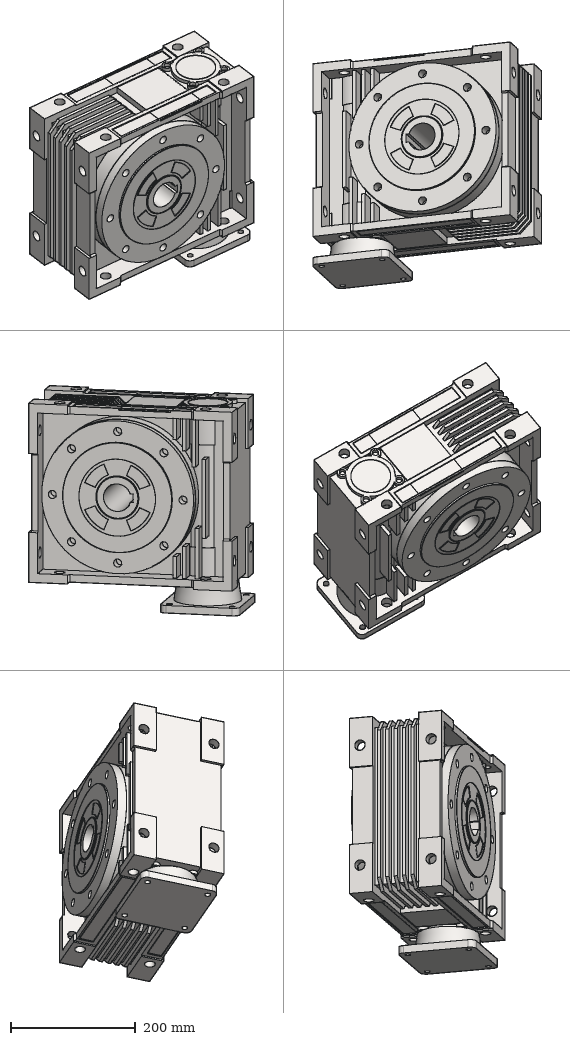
import cadquery as cq
import math


center_distance = 130.0
width = 170.0
housing_half_height = 146.25
housing_y_min = -147.5
housing_y_max = 187.5
housing_y_mid = (housing_y_min + housing_y_max) / 2
frame_outer_x = 77.5
frame_inner_x = 39.0
frame_wall = 15.0
wall_y = housing_y_max - frame_wall

beam_half_length = 103.75
column_half_length = 64.5
beam_drop = 2.5
column_drop = 4.5
side_drop = 3.5
beam_ramp = 3.6
column_ramp = 2.4

pad_depth = 1.9
pad_x_min = 46.5
pad_x_max = 70.5
pad_half_length = 96.5

foot_hole_diameter = 17.0
foot_hole_x = 60.0
foot_hole_z = 100.0
foot_hole_y_offset = 120.0

body_half_height = housing_half_height - frame_wall
body_y_min = housing_y_min + frame_wall
body_y_max = housing_y_max - column_drop
panel_y_max = 85.0
panel_half_height = 142.0
deck_half_height = 139.8
panel_edge_thickness = 1.0
panel_edge_overhang = 0.2
fin_count = 5
fin_pitch = 14.1
fin_thickness = 5.5
fin_y_min = -146.25
fin_y_start = -12.0
fin_ramp_length = 11.0
fin_chamfer = 19.0

barrel_radius = 44.0
barrel_waist_radius = 43.2
barrel_waist_half_height = 84.0
rib_outer_x = 65.5
rib_thickness = 6.0
rib_places = [
    (138.0, -64.5, 64.5),
    (121.5, 51.5, body_half_height),
    (106.0, 77.5, body_half_height),
    (90.5, 95.0, body_half_height),
    (127.0, -body_half_height, -48.5),
    (106.0, -body_half_height, -79.0),
    (90.5, -body_half_height, -96.0),
]
corner_rib_outer_x = 40.0
corner_rib_width = 4.0
corner_rib_z_min = 97.0

cap_height = 146.0
cap_radius = 39.5
cap_recess_radius = 32.0
cap_recess_depth = 1.0
cap_lug_radius = 8.5
cap_hole_radius = 5.2
cap_hole_count = 4
cap_hole_circle_radius = 46.0
cap_hole_depth = 12.0
cap_hole_start_angle = 46.0

flange_radius = 125.0
flange_x = 81.5
flange_thickness = 15.5
flange_neck_radius = 124.5
pilot_radius = 90.0
pilot_chamfer = 0.5
flange_hole_count = 8
flange_hole_diameter = 13.0
flange_hole_circle_radius = 107.5
flange_hole_depth = 20.0

cover_radius = 63.0
cover_recess = 1.0
pocket_inner_radius = 39.5
pocket_outer_radius = 58.0
pocket_depth = 1.3
pocket_half_angle = 22.5
pocket_middle_angles = (45, 135, 225, 315)
shaft_radius = 34.0
shaft_gap_radius = 35.2
shaft_gap_depth = 2.0
bore_radius = 22.5
key_width = 14.0
key_top = 26.3

motor_flange_side = 130.0
motor_flange_thickness = 12.5
motor_flange_bottom = -189.25
motor_flange_corner_radius = 10.5
motor_flange_hole_diameter = 9.0
motor_flange_hole_offset = 51.5
neck_top_radius = 50.0
neck_bottom_radius = 54.5


def block(x_min, x_max, y_min, y_max, z_min, z_max):
    size = (x_max - x_min, y_max - y_min, z_max - z_min)
    return cq.Workplane("XY").box(*size, centered=False).translate((x_min, y_min, z_min))


def disc(radius, x_min, x_max):
    """Cylinder along the output axis."""
    return cq.Workplane("YZ", origin=(x_min, 0, 0)).circle(radius).extrude(x_max - x_min)


def post(radius, z_min, z_max, x=0.0, y=center_distance):
    """Vertical cylinder, on the worm axis unless placed elsewhere."""
    return cq.Workplane("XY", origin=(x, y, z_min)).circle(radius).extrude(z_max - z_min)


def both_sides(shape):
    return shape.union(shape.mirror("YZ"))


def top_and_bottom(shape):
    return shape.union(shape.mirror("XY"))


def side_relief(middle, half_length, ramp):
    """Points of the shallow relief in the outer face of a frame member, ramped at both ends."""
    floor_x = frame_outer_x - side_drop
    floor_half = half_length - ramp
    return [
        (frame_outer_x, middle - half_length),
        (floor_x, middle - floor_half),
        (floor_x, middle + floor_half),
        (frame_outer_x, middle + half_length),
    ]


def make_frame():
    """Rectangular side frame at +X with four thicker corner feet."""
    beam_y_min = housing_y_mid - beam_half_length
    beam_y_max = housing_y_mid + beam_half_length
    frame = block(
        frame_inner_x, frame_outer_x, housing_y_min, housing_y_max, -housing_half_height, housing_half_height
    )
    window = block(
        frame_inner_x, frame_outer_x, body_y_min, wall_y, -body_half_height, body_half_height
    )
    frame = frame.cut(window)

    beam_top = housing_half_height - beam_drop
    beam_cut = block(frame_inner_x, frame_outer_x, beam_y_min, beam_y_max, beam_top, housing_half_height)
    pad_cut = block(
        pad_x_min,
        pad_x_max,
        housing_y_mid - pad_half_length,
        housing_y_mid + pad_half_length,
        beam_top - pad_depth,
        beam_top,
    )
    frame = frame.cut(top_and_bottom(beam_cut)).cut(top_and_bottom(pad_cut))

    for y_min in (housing_y_min, housing_y_max - column_drop):
        column_cut = block(
            frame_inner_x, frame_outer_x, y_min, y_min + column_drop, -column_half_length, column_half_length
        )
        frame = frame.cut(column_cut)

    beam_relief = cq.Workplane("XY").polyline(side_relief(housing_y_mid, beam_half_length, beam_ramp)).close()
    frame = frame.cut(beam_relief.extrude(housing_half_height, both=True))
    column_relief = cq.Workplane("XZ").polyline(side_relief(0, column_half_length, column_ramp)).close()
    frame = frame.cut(column_relief.extrude(housing_y_max, both=True))

    hole_radius = foot_hole_diameter / 2
    for y_offset in (-foot_hole_y_offset, foot_hole_y_offset):
        hole_y = housing_y_mid + y_offset
        frame = frame.cut(post(hole_radius, -housing_half_height, housing_half_height, foot_hole_x, hole_y))
    for z in (-foot_hole_z, foot_hole_z):
        hole = cq.Workplane("XZ").center(foot_hole_x, z).circle(hole_radius).extrude(housing_y_max, both=True)
        frame = frame.cut(hole)
    return frame


def make_fin():
    """Cooling fin that wraps the top, front and bottom of the body."""
    points = [
        (fin_y_start, body_half_height),
        (fin_y_start - fin_ramp_length, panel_half_height),
        (fin_y_min + fin_chamfer, panel_half_height),
        (fin_y_min, panel_half_height - fin_chamfer),
    ]
    lower_points = [(y, -z) for y, z in reversed(points)]
    profile = cq.Workplane("YZ").polyline(points + lower_points).close()
    return profile.extrude(fin_thickness / 2, both=True)


def make_body():
    body = block(
        -frame_inner_x, frame_inner_x, body_y_min, body_y_max, -body_half_height, body_half_height
    )
    panel = block(-frame_inner_x, frame_inner_x, 0, panel_y_max, 0, panel_half_height)
    deck = block(-frame_inner_x, frame_inner_x, panel_y_max, body_y_max, 0, deck_half_height)
    edge_x = frame_outer_x - side_drop + panel_edge_overhang
    panel_edge = block(
        -edge_x, edge_x, 0, panel_y_max, panel_half_height - panel_edge_thickness, panel_half_height
    )
    body = body.union(top_and_bottom(panel)).union(top_and_bottom(deck)).union(panel_edge)
    fin = make_fin()
    for index in range(fin_count):
        fin_x = (index - (fin_count - 1) / 2) * fin_pitch
        body = body.union(fin.translate((fin_x, 0, 0)))
    return body


def make_barrel():
    """Worm barrel that bulges from both side walls, with a slightly slimmer waist."""
    end = post(barrel_radius, barrel_waist_half_height, body_half_height)
    waist = post(barrel_waist_radius, -barrel_waist_half_height, barrel_waist_half_height)
    return top_and_bottom(end).union(waist)


def make_ribs():
    """Upright ribs on the +X side wall that stop short of the output flange."""
    group = cq.Workplane("XY")
    for y, z_min, z_max in rib_places:
        rib = block(0, rib_outer_x, y - rib_thickness / 2, y + rib_thickness / 2, z_min, z_max)
        group = group.union(rib)
    return group


def make_corner_ribs():
    """Low ribs where the +X side wall meets the rear wall of the frame."""
    rib = block(
        0, corner_rib_outer_x, wall_y - corner_rib_width, wall_y, corner_rib_z_min, body_half_height
    )
    return top_and_bottom(rib)


def make_cap():
    """Round bearing cap on top of the worm barrel with four screw lugs."""
    cap = post(cap_radius, 0, cap_height)
    recess = post(cap_recess_radius, cap_height - cap_recess_depth, cap_height)
    cap = cap.cut(recess)
    for index in range(cap_hole_count):
        angle = math.radians(cap_hole_start_angle + 360 / cap_hole_count * index)
        x = cap_hole_circle_radius * math.cos(angle)
        y = center_distance + cap_hole_circle_radius * math.sin(angle)
        lug = post(cap_lug_radius, body_half_height, cap_height, x, y)
        hole = post(cap_hole_radius, cap_height - cap_hole_depth, cap_height, x, y)
        cap = cap.union(lug).cut(hole)
    return cap


def make_pocket(middle_angle):
    """Ring-sector pocket in the face of the seal cover."""

    def point(radius, offset):
        angle = math.radians(middle_angle + offset)
        return (radius * math.cos(angle), radius * math.sin(angle))

    floor_x = width / 2 - cover_recess - pocket_depth
    return (
        cq.Workplane("YZ", origin=(floor_x, 0, 0))
        .moveTo(*point(pocket_inner_radius, -pocket_half_angle))
        .lineTo(*point(pocket_outer_radius, -pocket_half_angle))
        .threePointArc(point(pocket_outer_radius, 0), point(pocket_outer_radius, pocket_half_angle))
        .lineTo(*point(pocket_inner_radius, pocket_half_angle))
        .threePointArc(point(pocket_inner_radius, 0), point(pocket_inner_radius, -pocket_half_angle))
        .close()
        .extrude(pocket_depth)
    )


def make_output_flange():
    """Output flange at +X with its pilot, seal cover and shaft end."""
    face_x = width / 2
    back_x = flange_x - flange_thickness
    flange = disc(flange_neck_radius, 0, back_x).union(disc(flange_radius, back_x, flange_x))
    pilot = disc(pilot_radius, flange_x, face_x).faces(">X").chamfer(pilot_chamfer)
    flange = flange.union(pilot)

    cover_x = face_x - cover_recess
    flange = flange.cut(disc(cover_radius, cover_x, face_x).cut(disc(shaft_radius, cover_x, face_x)))
    gap_x = face_x - shaft_gap_depth
    flange = flange.cut(disc(shaft_gap_radius, gap_x, face_x).cut(disc(shaft_radius, gap_x, face_x)))
    for middle_angle in pocket_middle_angles:
        flange = flange.cut(make_pocket(middle_angle))

    holes = (
        cq.Workplane("YZ", origin=(flange_x - flange_hole_depth, 0, 0))
        .polarArray(flange_hole_circle_radius, 0, 360, flange_hole_count)
        .circle(flange_hole_diameter / 2)
        .extrude(flange_hole_depth)
    )
    return flange.cut(holes)


def make_motor_flange():
    """Conical neck and square flange below the worm."""
    plate_top = motor_flange_bottom + motor_flange_thickness
    hole_pitch = 2 * motor_flange_hole_offset
    plate = (
        cq.Workplane("XY", origin=(0, center_distance, motor_flange_bottom))
        .rect(motor_flange_side, motor_flange_side)
        .extrude(motor_flange_thickness)
        .edges("|Z")
        .fillet(motor_flange_corner_radius)
    )
    holes = (
        cq.Workplane("XY", origin=(0, center_distance, motor_flange_bottom))
        .rect(hole_pitch, hole_pitch, forConstruction=True)
        .vertices()
        .circle(motor_flange_hole_diameter / 2)
        .extrude(motor_flange_thickness)
    )
    neck = (
        cq.Workplane("XY", origin=(0, center_distance, plate_top))
        .circle(neck_bottom_radius)
        .workplane(offset=-housing_half_height - plate_top)
        .circle(neck_top_radius)
        .loft()
    )
    return plate.cut(holes).union(neck)


def make_bore():
    """Through bore of the hollow shaft with a keyway towards +Y."""
    keyway = block(-width / 2, width / 2, 0, key_top, -key_width / 2, key_width / 2)
    return disc(bore_radius, -width / 2, width / 2).union(keyway)


result = (
    both_sides(make_frame())
    .union(make_body())
    .union(make_barrel())
    .union(both_sides(make_ribs()))
    .union(both_sides(make_corner_ribs()))
    .union(top_and_bottom(make_cap()))
    .union(make_motor_flange())
    .union(both_sides(make_output_flange()))
    .cut(make_bore())
)